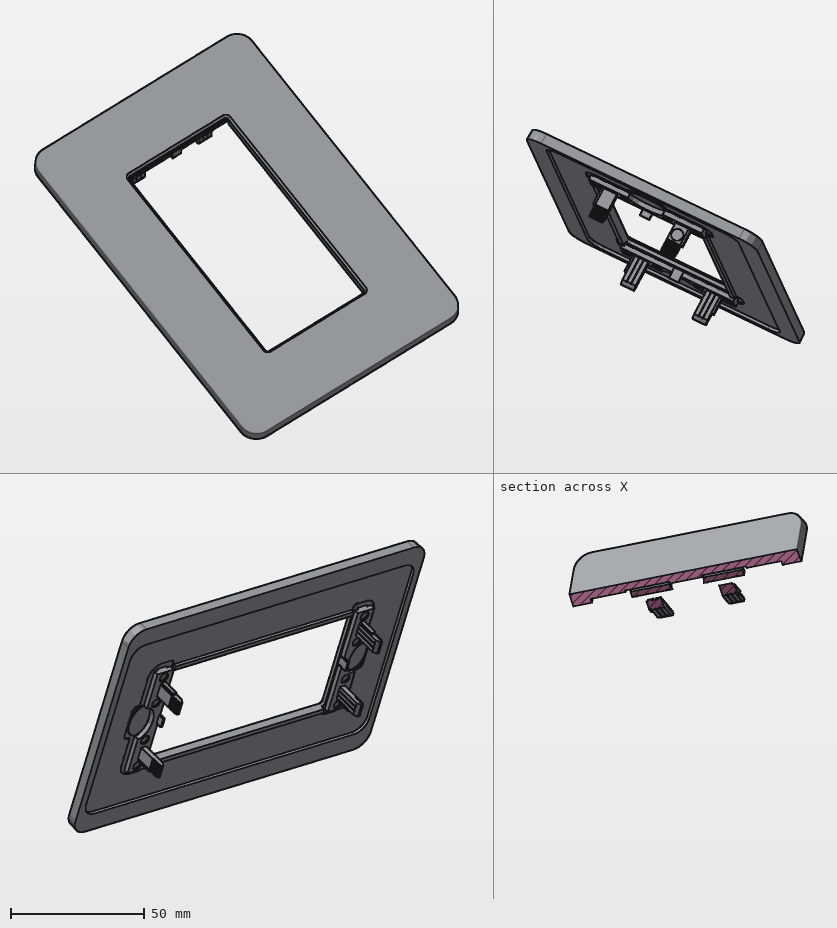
import cadquery as cq
import math

tilt_about_y = 33.4
tilt_about_x = 20.0

plate_length = 145.5
plate_width = 98.4
plate_thickness = 4.3
plate_corner_radius = 7.0
side_inset = 0.2
front_edge_round = 0.15

window_length = 90.2
window_width = 45.3
window_corner_radius = 1.0
window_flare = 0.9

recess_length = 139.4
recess_width = 82.0
recess_corner_radius = 6.0
recess_depth = 1.3
recess_floor_z = -plate_thickness + recess_depth
lip_width = 1.9
lip_end_gap = 1.2
lip_length = window_length - 2 * lip_end_gap
lip_half_width = window_width / 2 + lip_width

seat_depth = 0.5
seat_floor_z = recess_floor_z + seat_depth
seat_outer_x = 55.5
seat_half_width = 26.9
seat_ear_radius = 5.5
seat_inner_corner_radius = 2.0
shoulder_outer_x = 58.7
shoulder_half_width = 8.0
shoulder_corner_radius = 2.5
oval_center_x = 53.4
oval_half_width = 7.1
oval_half_length = 4.8
oval_clearance = 0.3
boss_height = 0.6
boss_back_z = seat_floor_z - boss_height

rail_inner_x = 45.2
rail_outer_x = 53.4
rail_half_width = 24.1
rail_back_z = -5.1
rail_front_z = -3.1

foot_inset = 1.8
foot_inner_x = rail_inner_x + foot_inset
foot_outer_x = rail_outer_x - foot_inset

dimple_diameter = 3.9
dimple_depth = 0.7
dimple_x = 49.4
dimple_y = (8.95, 21.4)

tab_width = 4.0
tab_thickness = 0.9
tab_overhang = 0.25
tab_tip_z = -7.6

clip_y = 15.3
clip_width = 5.6
clip_inner_x = 47.7
clip_outer_x = 50.1
clip_bevel_z = -15.3
clip_tip_z = -17.0
clip_tip_inner_x = 48.7
clip_tip_outer_x = 49.7
clip_teeth_top_z = -12.1
clip_teeth_end_z = -16.4
tooth_count = 8
tooth_depth = 0.4
rib_thickness = 0.9
rib_setback = 0.3
groove_width = 0.2
groove_depth = 0.15
mark_diameter = 4.6
mark_depth = 0.3
mark_z = -9.0


def rounded_block(length, width, radius, z_low, z_high):
    """Upright block centred on the local z axis with rounded corners."""
    block = cq.Workplane("XY").workplane(offset=z_low).rect(length, width).extrude(z_high - z_low)
    return block.edges("|Z").fillet(radius)


def slab(x_low, x_high, half_width, z_low, z_high):
    """Rectangular block symmetric about the local x axis."""
    block = cq.Workplane("XY").box(x_high - x_low, 2 * half_width, z_high - z_low, centered=(False, True, False))
    return block.translate((x_low, 0, z_low))


def oval_block(clearance, z_low, z_high):
    """Oval prism at the outer edge of the +x rail, grown outwards by a clearance."""
    oval = cq.Workplane("XY").workplane(offset=z_low).center(oval_center_x, 0)
    return oval.ellipse(oval_half_length + clearance, oval_half_width + clearance).extrude(z_high - z_low)


def seat_block():
    """Cutter for the seat of the +x rail; it starts at the recess floor."""
    strip = slab(window_length / 2 - 1, seat_outer_x, seat_half_width, recess_floor_z, seat_floor_z)
    strip = strip.edges("|Z and >X").fillet(seat_ear_radius)
    strip = strip.edges("|Z and <X").fillet(seat_inner_corner_radius)
    shoulder = slab(rail_inner_x, shoulder_outer_x, shoulder_half_width, recess_floor_z, seat_floor_z)
    shoulder = shoulder.edges("|Z and >X").fillet(shoulder_corner_radius)
    return strip.union(shoulder)


def make_plate():
    """Cover plate with its window, back recess, lips, rail seats and oval bosses."""
    taper = math.degrees(math.atan2(side_inset, plate_thickness))
    plate = (
        cq.Workplane("XY")
        .workplane(offset=-plate_thickness)
        .sketch().rect(plate_length, plate_width).vertices().fillet(plate_corner_radius).finalize()
        .extrude(plate_thickness, taper=taper)
        .faces(">Z").edges().fillet(front_edge_round)
    )
    recess = rounded_block(recess_length, recess_width, recess_corner_radius, -plate_thickness, recess_floor_z)
    lip = cq.Workplane("XY").box(lip_length, 2 * lip_half_width, recess_depth)
    lip = lip.translate((0, 0, recess_floor_z - recess_depth / 2))
    plate = plate.cut(recess.cut(lip))
    seat = seat_block()
    boss = oval_block(0, boss_back_z, seat_floor_z)
    plate = plate.cut(seat).cut(seat.mirror("YZ")).union(boss).union(boss.mirror("YZ"))
    opening = rounded_block(window_length, window_width, window_corner_radius, -2 * plate_thickness, 1)
    flare = (
        cq.Workplane("XY")
        .sketch().rect(window_length + 2 * window_flare, window_width + 2 * window_flare)
        .vertices().fillet(window_corner_radius + window_flare).finalize()
        .extrude(-window_flare, taper=45)
    )
    return plate.cut(opening).cut(flare)


def make_clip(outer_side):
    """Snap clip of the +x rail; outer_side is the y direction that carries its side rib."""
    pitch = (clip_teeth_top_z - clip_teeth_end_z) / tooth_count
    profile = cq.Workplane("XZ").moveTo(clip_inner_x, rail_back_z).lineTo(clip_inner_x, clip_bevel_z)
    profile = profile.lineTo(clip_tip_inner_x, clip_tip_z).lineTo(clip_tip_outer_x, clip_tip_z)
    for tooth in range(tooth_count):
        tooth_z = clip_teeth_end_z + tooth * pitch
        profile = profile.lineTo(clip_outer_x - tooth_depth, tooth_z).lineTo(clip_outer_x, tooth_z + pitch / 2)
    profile = profile.lineTo(clip_outer_x - tooth_depth, clip_teeth_top_z)
    profile = profile.lineTo(clip_outer_x, clip_teeth_top_z).lineTo(clip_outer_x, rail_back_z).close()
    clip = profile.extrude(clip_width / 2, both=True)
    for side in (-1, 1):
        groove = cq.Workplane("XY").box(2 * groove_depth, groove_width, 2 * abs(clip_bevel_z))
        clip = clip.cut(groove.translate((clip_inner_x, side * clip_width / 6, rail_back_z + clip_bevel_z)))
    rib = cq.Workplane("XY").box(
        clip_outer_x - clip_inner_x - 2 * rib_setback, rib_thickness, rail_back_z - clip_teeth_top_z
    )
    rib = rib.translate((
        (clip_inner_x + clip_outer_x) / 2,
        outer_side * (clip_width + rib_thickness) / 2,
        (rail_back_z + clip_teeth_top_z) / 2,
    ))
    return clip.union(rib).translate((0, outer_side * clip_y, 0))


def make_rail():
    """Rail at the +x end of the window with its tab, dimples and two clips."""
    rail = slab(rail_inner_x, rail_outer_x, rail_half_width, rail_back_z, rail_front_z)
    rail = rail.union(slab(foot_inner_x, foot_outer_x, rail_half_width, rail_front_z, seat_floor_z))
    rail = rail.cut(oval_block(oval_clearance, rail_back_z, seat_floor_z))
    for y in dimple_y:
        for side in (-1, 1):
            dimple = cq.Workplane("XY").workplane(offset=rail_back_z).center(dimple_x, side * y)
            rail = rail.cut(dimple.circle(dimple_diameter / 2).extrude(dimple_depth))
    tab_inner_x = rail_inner_x - tab_overhang
    rail = rail.union(slab(tab_inner_x, tab_inner_x + tab_thickness, tab_width / 2, tab_tip_z, rail_front_z))
    for side in (-1, 1):
        rail = rail.union(make_clip(side))
    return rail


def placed(body):
    """Tilt a body from the local axes into its final attitude."""
    return body.rotate((0, 0, 0), (0, 1, 0), tilt_about_y).rotate((0, 0, 0), (1, 0, 0), tilt_about_x)


plate = placed(make_plate())

right_rail = placed(make_rail())

marked_rail = make_rail().mirror("YZ")
mark = cq.Workplane("YZ").workplane(offset=-clip_outer_x).center(-clip_y, mark_z)
marked_rail = placed(marked_rail.cut(mark.circle(mark_diameter / 2).extrude(mark_depth)))

result = cq.Compound.makeCompound([plate.val(), right_rail.val(), marked_rail.val()])